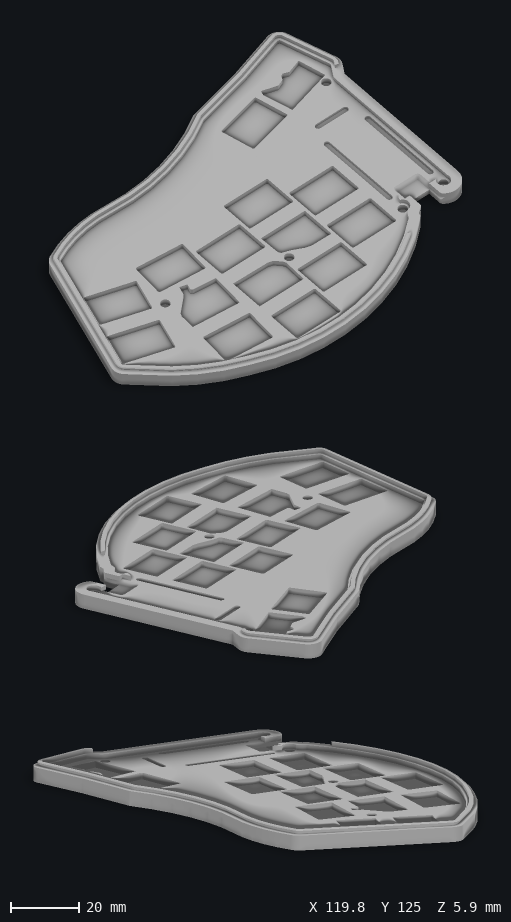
import cadquery as cq
import math

plate_top = 4.5
floor_depth = 1.5
floor_z = plate_top - floor_depth
pocket_depth = 2.0
slot_depth = 1.0
hole_depth = 2.0
lip_top = 5.9
bead_bottom = 5.1
bead_chamfer = 0.2

bead_inset = 1.2
neck_inset = 1.7
lip_inner_inset = 2.5
floor_inset = 3.4

corner_radius = 4.2

tab_origin = (14.0, 57.0)
tab_angle = 17
screw_spacing = 15.7
tab_end_radius = 5.5
screw_pad_radius = 2.2
notch_half_width = 3.7
notch_edge_u = -1.6
notch_inner_u = -6.9
notch_depth = 1.2
shoulder_end_u = 3.5
notch_center_v = -screw_spacing / 2

hole_diameter = 3.1
screw_holes = [(-36.9, 41.6), (23.1, 3.6), (25.6, -37.1)]

slot_width = 2.0
long_slot_span = (-34.1, -6.0)
short_slot_u = -41.2
short_slot_length = 10.5

pocket_width = 12.0
pocket_length = 17.0
pocket_corner_radius = 0.5
key_pitch = 17.0
row_pitch = 18.0
main_angle = 17
main_origin = (2.7, 23.6)
lower_angle = 12
lower_origin = (13.2, -30.0)
bottom_origin = (19.9, -49.7)
thumb_center = (-30.2, 15.7)
thumb_angle = 30
trimmed_thumb_center = (-40.2, 32.1)
trimmed_thumb_angle = 32


def turned(origin, angle, u, v):
    """Point at (u, v) in a frame placed at origin and turned by angle degrees."""
    c = math.cos(math.radians(angle))
    s = math.sin(math.radians(angle))
    return (origin[0] + u * c - v * s, origin[1] + u * s + v * c)


def tab_point(u, v):
    return turned(tab_origin, tab_angle, u, v)


def main_point(u, v):
    return turned(main_origin, main_angle, u, v)


def prism(points, z_bottom, z_top):
    return cq.Workplane("XY").workplane(offset=z_bottom).polyline(points).close().extrude(z_top - z_bottom)


def tab_box(u_range, v_range, z_bottom, z_top):
    (u0, u1), (v0, v1) = u_range, v_range
    corners = [tab_point(u, v) for u, v in ((u0, v0), (u1, v0), (u1, v1), (u0, v1))]
    return prism(corners, z_bottom, z_top)


def cylinder(center, diameter, z_bottom, z_top):
    disc = cq.Workplane("XY").workplane(offset=z_bottom).center(*center).circle(diameter / 2)
    return disc.extrude(z_top - z_bottom)


left_corner = (-61.6, 36.0)
upper_corner = (-42.2, 48.9)
bottom_left = (-2.6, -62.5)
bottom_right = (46.9, -62.5)
tab_corner_radius = 1.0
notch_top_v = notch_center_v + notch_half_width
notch_bottom_v = notch_center_v - notch_half_width
tab_end_u = math.sqrt(tab_end_radius ** 2 - notch_top_v ** 2)

body = (
    cq.Workplane("XY")
    .moveTo(*left_corner)
    .lineTo(-49.2, 17.6)
    .lineTo(-38.9, -0.1)
    .threePointArc((-24.2, -17.5), (-16.1, -38.1))
    .threePointArc((-11.9, -50.0), bottom_left)
    .lineTo(*bottom_right)
    .lineTo(54.2, -47.5)
    .threePointArc((57.5, -37.5), (59.4, -25.0))
    .threePointArc((53.6, 12.5), (24.7, 45.0))
    .lineTo(23.1, 45.1)
    .lineTo(*tab_point(shoulder_end_u, notch_bottom_v))
    .lineTo(*tab_point(notch_edge_u, notch_bottom_v))
    .lineTo(*tab_point(notch_edge_u, notch_top_v))
    .lineTo(*tab_point(tab_end_u, notch_top_v))
    .threePointArc(tab_point(tab_end_radius, 0), tab_point(0, tab_end_radius))
    .lineTo(-36.5, 47.4)
    .lineTo(*upper_corner)
    .close()
    .extrude(plate_top)
)


def round_corner(solid, point, radius):
    """Fillet the upright edge that stands at the given outline point."""
    x, y = point
    reach = 0.1
    picker = cq.selectors.BoxSelector(
        (x - reach, y - reach, 0), (x + reach, y + reach, plate_top)
    )
    return solid.edges("|Z").edges(picker).fillet(radius)


for corner in (left_corner, upper_corner, bottom_left, bottom_right):
    body = round_corner(body, corner, corner_radius)
body = round_corner(body, tab_point(tab_end_u, notch_top_v), tab_corner_radius)

outline = body.faces("<Z").wires().val()


def inset_prism(inset, z_bottom, z_top):
    """Prism whose outline lies inside the outer outline by the given distance."""
    wire = cq.Workplane("XY").newObject([outline]).toPending().offset2D(-inset)
    return wire.extrude(z_top - z_bottom).translate((0, 0, z_bottom))


lip_gap_left = -39.7
lip_gap_right = 30.6
lip_gap_front = 37.5
lip_gap_back = 75.0

neck = inset_prism(neck_inset, plate_top, lip_top)
bead = inset_prism(bead_inset, bead_bottom, lip_top).faces(">Z").edges().chamfer(bead_chamfer)
lip = neck.union(bead).cut(inset_prism(lip_inner_inset, plate_top, lip_top))
lip_gap = prism(
    [
        (lip_gap_left, lip_gap_front),
        (lip_gap_right, lip_gap_front),
        (lip_gap_right, lip_gap_back),
        (lip_gap_left, lip_gap_back),
    ],
    plate_top,
    lip_top,
)
body = body.union(lip.cut(lip_gap))

floor_mouth_u = -7.5
body = body.cut(inset_prism(floor_inset, floor_z, plate_top))
for v in (0, -screw_spacing):
    body = body.cut(cylinder(tab_point(0, v), 2 * screw_pad_radius, floor_z, plate_top))
mouth_v = (screw_pad_radius - screw_spacing, 0)
body = body.cut(tab_box((floor_mouth_u, notch_edge_u), mouth_v, floor_z, plate_top))

notch = (
    cq.Workplane("XY")
    .workplane(offset=floor_z - notch_depth)
    .rect(2 * (notch_edge_u - notch_inner_u), 2 * notch_half_width)
    .extrude(notch_depth, taper=-45)
    .rotate((0, 0, 0), (0, 0, 1), tab_angle)
    .translate(tab_point(notch_edge_u, notch_center_v) + (0,))
)
body = body.cut(notch)

for center in [tab_point(0, 0), tab_point(0, -screw_spacing)] + screw_holes:
    body = body.cut(cylinder(center, hole_diameter, floor_z - hole_depth, floor_z))


def slot(u, v, length, turn):
    shape = cq.Workplane("XY").workplane(offset=floor_z - slot_depth).slot2D(length, slot_width, turn)
    return shape.extrude(slot_depth).translate(tab_point(u, v) + (0,))


long_length = long_slot_span[1] - long_slot_span[0] + slot_width
long_center_u = sum(long_slot_span) / 2
for v in (0, -screw_spacing):
    body = body.cut(slot(long_center_u, v, long_length, tab_angle))
body = body.cut(slot(short_slot_u, notch_center_v, short_slot_length + slot_width, tab_angle + 90))


def pocket(center, angle):
    block = cq.Workplane("XY").rect(pocket_width, pocket_length).extrude(pocket_depth)
    block = block.edges("|Z").fillet(pocket_corner_radius).rotate((0, 0, 0), (0, 0, 1), angle)
    return block.translate(center + (floor_z - pocket_depth,))


main_places = ((0, 0), (0, 1), (1, -0.5), (1, 1.46), (2, 0), (2, 2))
plain = [(main_point(key_pitch * place, -row_pitch * row), main_angle) for row, place in main_places]
plain += [(turned(lower_origin, lower_angle, key_pitch * i, 0), lower_angle) for i in (0, 2)]
plain += [((bottom_origin[0] + key_pitch * i, bottom_origin[1]), 0) for i in (0, 1)]
plain.append((thumb_center, thumb_angle))
for center, angle in plain:
    body = body.cut(pocket(center, angle))

half_w = pocket_width / 2
half_l = pocket_length / 2
upper_key = main_point(key_pitch * 0.5, -row_pitch)
right_key = main_point(key_pitch, -2 * row_pitch)
lower_key = turned(lower_origin, lower_angle, key_pitch, 0)

upper_pocket = [
    turned(upper_key, main_angle, -half_w, half_l),
    turned(upper_key, main_angle, -half_w, -half_l),
    (19.9, 1.4),
    (20.6, 2.1),
    (20.7, 5.0),
    (21.5, 9.4),
    (21.5, 11.5),
    turned(upper_key, main_angle, half_w, half_l),
]
right_pocket = [
    turned(right_key, main_angle, half_w, half_l),
    (24.9, 2.0),
    (24.0, 1.2),
    (22.6, -1.2),
    (22.6, -3.0),
    turned(right_key, main_angle, -half_w, -half_l),
    turned(right_key, main_angle, half_w, -half_l),
]
lower_pocket = [
    turned(lower_key, lower_angle, half_w, half_l),
    turned(lower_key, lower_angle, -half_w, half_l),
    (23.7, -27.5),
    (23.4, -28.1),
    (21.2, -28.1),
    (21.2, -30.7),
    (24.4, -30.7),
    (30.9, -34.6),
    (32.2, -34.7),
    turned(lower_key, lower_angle, half_w, -half_l),
]
thumb_pocket = [
    turned(trimmed_thumb_center, trimmed_thumb_angle, half_w, half_l),
    (-48.0, 37.6),
    (-45.0, 33.4),
    (-45.1, 31.2),
    (-44.5, 30.5),
    (-42.9, 30.2),
    (-41.2, 28.2),
    (-41.2, 22.6),
    (-39.5, 22.6),
    turned(trimmed_thumb_center, trimmed_thumb_angle, half_w, -half_l),
]
for points in (upper_pocket, right_pocket, lower_pocket, thumb_pocket):
    body = body.cut(prism(points, floor_z - pocket_depth, floor_z))

result = body